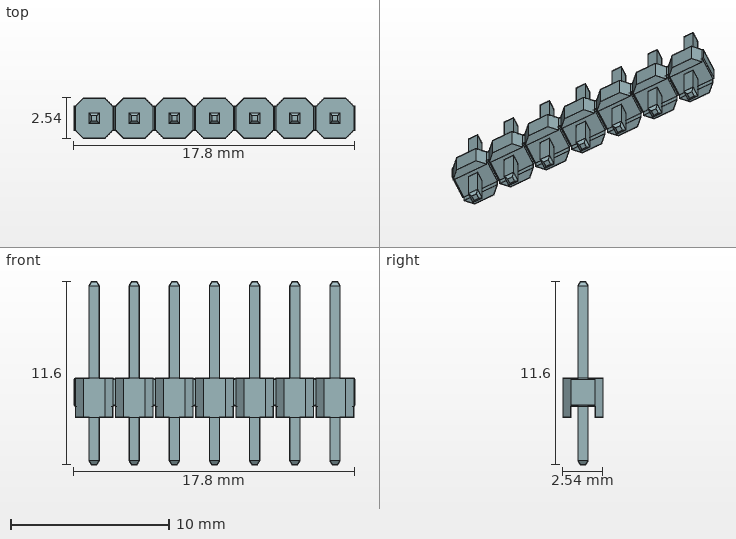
import cadquery as cq

pin_count = 7
header_length = 17.78
pitch = header_length / pin_count

housing_width = pitch
housing_height = 2.49
block_gap = 0.16
block_length = pitch - block_gap
corner_chamfer = pitch / 5
link_width = housing_width - 2 * corner_chamfer
link_bevel_height = block_gap / 2

channel_depth = 0.7

pin_side = 0.65
pin_tip_side = pin_side / 2
pin_tip_height = 0.27
pin_length = 11.6
pin_below_housing = 3.0

pin_positions = [(i - (pin_count - 1) / 2) * pitch for i in range(pin_count)]


def make_block(x):
    """Octagonal block standing on Z = 0, centred on one pin."""
    return (
        cq.Workplane("XY")
        .box(block_length, housing_width, housing_height, centered=(True, True, False))
        .edges("|Z")
        .chamfer(corner_chamfer)
        .translate((x, 0, 0))
    )


def make_link(x):
    """Bar one pitch long, with 45 degree bevels where its ends extend beyond the block."""
    half_block = block_length / 2
    half_pitch = pitch / 2
    bottom = channel_depth
    top = housing_height
    profile = [
        (-half_block, bottom),
        (half_block, bottom),
        (half_pitch, bottom + link_bevel_height),
        (half_pitch, top - link_bevel_height),
        (half_block, top),
        (-half_block, top),
        (-half_pitch, top - link_bevel_height),
        (-half_pitch, bottom + link_bevel_height),
    ]
    return (
        cq.Workplane("XZ")
        .polyline(profile)
        .close()
        .extrude(link_width / 2, both=True)
        .translate((x, 0, 0))
    )


def make_housing():
    """Blocks and links in one piece, with the underside channel and the square pin holes cut."""
    housing = make_block(pin_positions[0])
    for x in pin_positions[1:]:
        housing = housing.union(make_block(x))
    for x in pin_positions:
        housing = housing.union(make_link(x))
    channel = cq.Workplane("XY").box(
        header_length, link_width, channel_depth, centered=(True, True, False)
    )
    pin_holes = (
        cq.Workplane("XY")
        .pushPoints([(x, 0) for x in pin_positions])
        .rect(pin_side, pin_side)
        .extrude(housing_height)
    )
    return housing.cut(channel).cut(pin_holes)


def make_pin_tip(base_z, direction):
    """Square taper from the shaft end, pointing up (direction 1) or down (direction -1)."""
    return (
        cq.Workplane("XY", origin=(0, 0, base_z))
        .rect(pin_side, pin_side)
        .workplane(offset=direction * pin_tip_height)
        .rect(pin_tip_side, pin_tip_side)
        .loft(ruled=True)
    )


def make_pin(x):
    """Straight square pin passing through the housing, tapered at both ends."""
    shaft_bottom = pin_tip_height - pin_below_housing
    shaft_length = pin_length - 2 * pin_tip_height
    shaft = (
        cq.Workplane("XY", origin=(0, 0, shaft_bottom))
        .rect(pin_side, pin_side)
        .extrude(shaft_length)
    )
    upper_tip = make_pin_tip(shaft_bottom + shaft_length, 1)
    lower_tip = make_pin_tip(shaft_bottom, -1)
    return shaft.union(upper_tip).union(lower_tip).translate((x, 0, 0))


housing = make_housing().solids()
pins = [make_pin(x).solids() for x in pin_positions]

result = cq.Compound.makeCompound([housing.val(), *[pin.val() for pin in pins]])